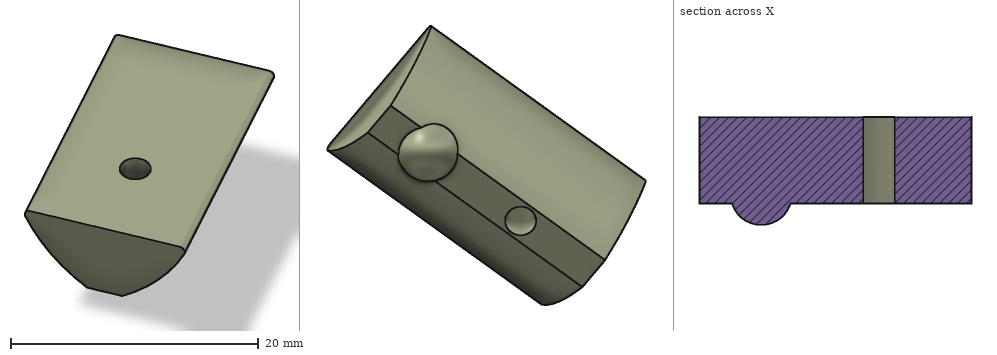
import cadquery as cq
import math

width = 13.7
length = 22.0
body_height = 7.0
bottom_flat_width = 3.0
edge_radius = 0.5
flank_radius = 15.0

hole_diameter = 2.5
hole_y = -3.5

ball_diameter = 5.0
ball_y = 6.0
overall_height = 8.75
ball_z = -overall_height + ball_diameter / 2


def flank_center(edge_center, bottom_corner):
    """Center of the right flank arc: through the bottom corner and tangent to the edge rounding."""
    dx = edge_center[0] - bottom_corner[0]
    dz = edge_center[1] - bottom_corner[1]
    span = math.hypot(dx, dz)
    inner_radius = flank_radius - edge_radius
    along = (flank_radius**2 - inner_radius**2 + span**2) / (2 * span)
    across = math.sqrt(flank_radius**2 - along**2)
    return (
        bottom_corner[0] + (along * dx - across * dz) / span,
        bottom_corner[1] + (along * dz + across * dx) / span,
    )


def on_circle(center, radius, angle):
    return (center[0] + radius * math.cos(angle), center[1] + radius * math.sin(angle))


def mirrored(point):
    return (-point[0], point[1])


def make_body():
    edge_center = (width / 2 - edge_radius, -edge_radius)
    bottom_corner = (bottom_flat_width / 2, -body_height)
    center = flank_center(edge_center, bottom_corner)

    tangent_angle = math.atan2(edge_center[1] - center[1], edge_center[0] - center[0])
    bottom_angle = math.atan2(bottom_corner[1] - center[1], bottom_corner[0] - center[0])

    top_corner = (edge_center[0], 0)
    edge_middle = on_circle(edge_center, edge_radius, (math.pi / 2 + tangent_angle) / 2)
    edge_end = on_circle(edge_center, edge_radius, tangent_angle)
    flank_middle = on_circle(center, flank_radius, (tangent_angle + bottom_angle) / 2)

    return (
        cq.Workplane("XZ")
        .moveTo(*mirrored(top_corner))
        .lineTo(*top_corner)
        .threePointArc(edge_middle, edge_end)
        .threePointArc(flank_middle, bottom_corner)
        .lineTo(*mirrored(bottom_corner))
        .threePointArc(mirrored(flank_middle), mirrored(edge_end))
        .threePointArc(mirrored(edge_middle), mirrored(top_corner))
        .close()
        .extrude(length / 2, both=True)
    )


def make_hole():
    return cq.Workplane("XY").center(0, hole_y).circle(hole_diameter / 2).extrude(-body_height)


def make_ball():
    return cq.Workplane("XY").sphere(ball_diameter / 2).translate((0, ball_y, ball_z))


result = make_body().cut(make_hole()).union(make_ball())